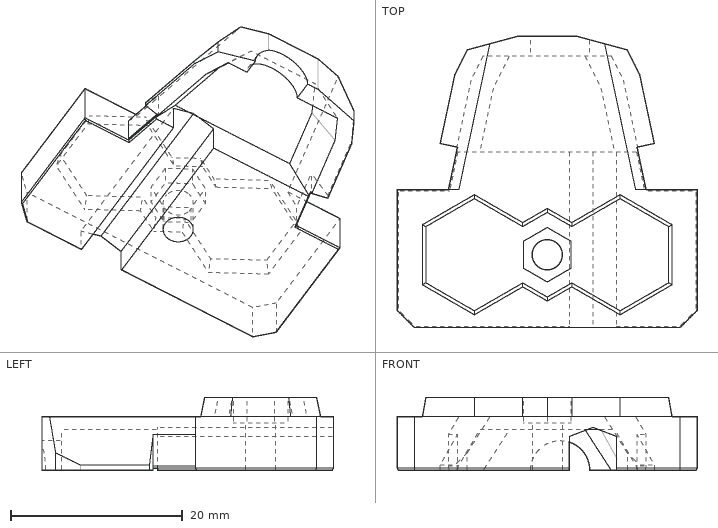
import cadquery as cq
import math

plate_width = 35.0
plate_front_y = -8.5
plate_rear_y = 7.6
plate_height = 6.25
plate_corner = 2.0
bevel_height = 0.25

boss_top = 8.5
boss_draft = 10.0
big_hex_radius = 7.0
big_hex_offset = 8.5
small_hex_radius = 5.4

nut_flats = 5.5
nut_depth = 3.0
hole_diameter = 3.5

side_angle = math.radians(12.0)
flank_draft = 30.0
upright_height = 0.6
shoulder_half_width = 12.5
shoulder_y = 12.96
corner_y = 21.0
shoulder_cheek = (9.33, 23.9)
tip_half_width = 3.4
tip_y = 25.5

notch_depth = 2.05
foot_height = 0.5
foot_inset = 0.05

cavity_front_y = 12.0
cavity_corner_y = 20.4
cavity_rear_y = 23.2
cavity_roof = 4.75
cavity_wall = 2.0

slot_center_x = 5.33
slot_width = 5.5
slot_eave = 3.95
slot_peak = 5.0

tip_hole_x = 1.5
tip_hole_radius = 3.45

side_slope = math.tan(side_angle)
notch_corner_y = shoulder_y - notch_depth * math.sin(side_angle)


def flank_x(y, depth):
    """Half-width at y of a line parallel to the tongue side, set in by depth."""
    return shoulder_half_width + (shoulder_y - y) * side_slope - depth / math.cos(side_angle)


def symmetric(right_points):
    """Close a chain of right-hand points with its mirror image across X = 0."""
    return right_points + [(-x, y) for x, y in reversed(right_points)]


def prism(points, bottom, top, taper=0.0):
    base = cq.Workplane("XY").workplane(offset=bottom)
    return base.polyline(points).close().extrude(top - bottom, taper=taper)


def hexagon(radius, center_x=0.0):
    """Corners of a hexagon with one corner pointing along +Y."""
    angles = [math.radians(90 + 60 * i) for i in range(6)]
    return [(center_x + radius * math.cos(a), radius * math.sin(a)) for a in angles]


def beveled_prism(points, top):
    """Upright prism standing on z = 0 with a narrow inward bevel around its bottom."""
    bevel = cq.Workplane("XY").workplane(offset=bevel_height).polyline(points).close()
    return prism(points, bevel_height, top).union(bevel.extrude(-bevel_height, taper=flank_draft))


def make_plate():
    half_width = plate_width / 2
    return beveled_prism(symmetric([
        (half_width - plate_corner, plate_front_y),
        (half_width, plate_front_y + plate_corner),
        (half_width, plate_rear_y),
    ]), plate_height)


def make_tongue():
    notch_corner_x = flank_x(notch_corner_y, notch_depth)
    outline = prism(symmetric([
        (flank_x(0, notch_depth), 0),
        (notch_corner_x, notch_corner_y),
        (shoulder_half_width, shoulder_y),
        (flank_x(corner_y, 0), corner_y),
        shoulder_cheek,
        (tip_half_width, tip_y),
    ]), 0, plate_height)

    envelope_end = tip_y + plate_height
    envelope_points = symmetric([
        (flank_x(-plate_height, 0), -plate_height),
        (flank_x(envelope_end, 0), envelope_end),
    ])
    upright = prism(envelope_points, 0, upright_height)
    leaning = prism(envelope_points, upright_height, plate_height, flank_draft)
    return outline.intersect(upright.union(leaning))


def cut_cavity(body):
    cheek_x, cheek_y = shoulder_cheek
    cheek_slope = (flank_x(corner_y, 0) - cheek_x) / (cheek_y - corner_y)
    corner_x = flank_x(cavity_corner_y, cavity_wall)
    extra = cavity_roof
    start_y = cavity_front_y - extra
    end_y = cavity_rear_y + extra
    cavity = prism(symmetric([
        (flank_x(start_y, cavity_wall), start_y),
        (corner_x, cavity_corner_y),
        (corner_x - (end_y - cavity_corner_y) * cheek_slope, end_y),
    ]), 0, cavity_roof, flank_draft)
    limits = prism(symmetric([
        (plate_width, cavity_front_y),
        (plate_width, cavity_rear_y),
    ]), 0, cavity_roof)
    return body.cut(cavity.intersect(limits))


def cut_neck_foot(body):
    """Set the bottom of the neck in from the notch walls and bevel its lower edges."""
    start_y = plate_rear_y - bevel_height
    end_y = notch_corner_y + bevel_height
    foot_depth = notch_depth + foot_inset
    foot_start_y = start_y - bevel_height
    foot = beveled_prism(symmetric([
        (flank_x(foot_start_y, foot_depth), foot_start_y),
        (flank_x(end_y, foot_depth), end_y),
    ]), foot_height)
    band = prism(symmetric([
        (flank_x(start_y, 0), start_y),
        (flank_x(notch_corner_y, 0), notch_corner_y),
    ]), 0, foot_height)
    return body.cut(band.cut(foot))


def make_boss():
    boss = prism(hexagon(small_hex_radius), plate_height, boss_top, boss_draft)
    for center_x in (-big_hex_offset, big_hex_offset):
        boss = boss.union(prism(hexagon(big_hex_radius, center_x), plate_height, boss_top, boss_draft))
    return boss


def cut_nut_hole(body):
    nut_radius = nut_flats / math.sqrt(3)
    nut = prism(hexagon(nut_radius), boss_top - nut_depth, boss_top)
    hole = cq.Workplane("XY").circle(hole_diameter / 2).extrude(boss_top)
    return body.cut(nut).cut(hole)


def cut_slot(body):
    left = slot_center_x - slot_width / 2
    right = slot_center_x + slot_width / 2
    profile = [(left, 0), (left, slot_eave), (slot_center_x, slot_peak), (right, slot_eave), (right, 0)]
    start = cq.Workplane("XZ", origin=(0, cavity_front_y, 0))
    return body.cut(start.polyline(profile).close().extrude(cavity_front_y - plate_front_y))


def cut_tip_hole(body):
    start = cq.Workplane("XZ", origin=(tip_hole_x, tip_y, 0))
    return body.cut(start.circle(tip_hole_radius).extrude(tip_y - cavity_rear_y))


tongue = cut_neck_foot(cut_cavity(make_tongue()))
result = make_plate().union(tongue).union(make_boss())
result = cut_tip_hole(cut_slot(cut_nut_hole(result)))